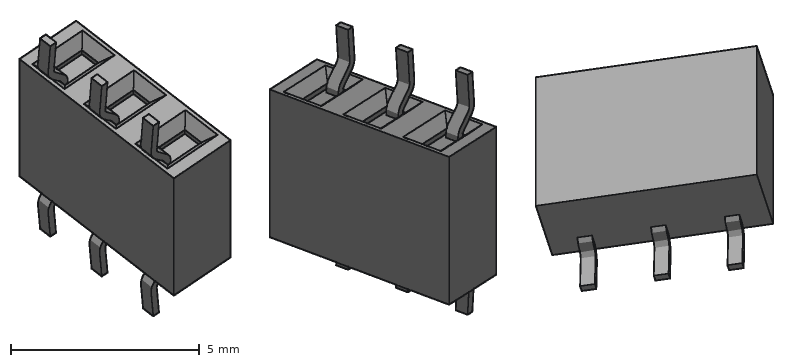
import cadquery as cq
import math

body_width = 6.0
body_depth = 2.06
body_height = 4.5
body_top = body_height / 2

contact_count = 3
pitch = body_width / contact_count

pocket_width = 1.25
pocket_depth_y = 1.82
funnel_depth = 0.31
well_depth = 0.15

overall_height = 7.3
lead_width = 0.4
lead_thickness = 0.21
inner_bend_radius = 0.22
outer_bend_radius = inner_bend_radius + lead_thickness
stem_y = -0.505
tail_lean = 4.6
tip_y = -(body_depth - lead_thickness) / 2
upper_jog_slope = 45
upper_jog_height = 2.03
lower_jog_slope = 20
lower_jog_height = 2.24


def make_body():
    return cq.Workplane("XY").box(body_width, body_depth, body_height)


def make_pocket(x):
    """Tapered pocket entry and the straight well below it, as a cutting solid."""
    well_width = pocket_width - 2 * funnel_depth
    well_depth_y = pocket_depth_y - 2 * funnel_depth
    return (
        cq.Workplane("XY", origin=(x, 0, body_top))
        .rect(pocket_width, pocket_depth_y)
        .workplane(offset=-funnel_depth)
        .rect(well_width, well_depth_y)
        .loft(ruled=True)
        .faces("<Z")
        .workplane()
        .rect(well_width, well_depth_y)
        .extrude(well_depth)
    )


def make_lead(x, jog_slope, jog_height):
    """Lead rising from mid-height: stem, sloping jog towards -Y, leaning tail.

    jog_height is where the stem and jog centrelines meet.
    """
    slope = math.tan(math.radians(jog_slope))
    lean = math.tan(math.radians(tail_lean))
    half = lead_thickness / 2
    tip_z = overall_height / 2

    def side(offset):
        """One face of the strip, offset towards +Y from the centreline."""
        stem = stem_y + offset
        stem_bend_z = jog_height + offset * math.tan(math.radians(90 - jog_slope) / 2)
        tip = tip_y + offset / math.cos(math.radians(tail_lean))
        tail_bend_z = (stem_bend_z + slope * (stem - tip + lean * tip_z)) / (1 + slope * lean)
        tail_bend_y = tip - lean * (tip_z - tail_bend_z)
        return [(stem, 0), (stem, stem_bend_z), (tail_bend_y, tail_bend_z), (tip, tip_z)]

    back = side(half)
    front = side(-half)
    lead = (
        cq.Workplane("YZ", origin=(x - lead_width / 2, 0, 0))
        .polyline(back + front[::-1])
        .close()
        .extrude(lead_width)
    )
    bends = [
        (back[1], outer_bend_radius),
        (front[1], inner_bend_radius),
        (back[2], inner_bend_radius),
        (front[2], outer_bend_radius),
    ]
    for (y, z), radius in bends:
        lead = lead.edges(cq.selectors.NearestToPointSelector((x, y, z))).fillet(radius)
    return lead


contact_positions = [(i - (contact_count - 1) / 2) * pitch for i in range(contact_count)]

result = make_body()
for x in contact_positions:
    result = result.cut(make_pocket(x))
for x in contact_positions:
    upper_lead = make_lead(x, upper_jog_slope, upper_jog_height)
    lower_lead = make_lead(x, lower_jog_slope, lower_jog_height).mirror("XY")
    result = result.union(upper_lead).union(lower_lead)